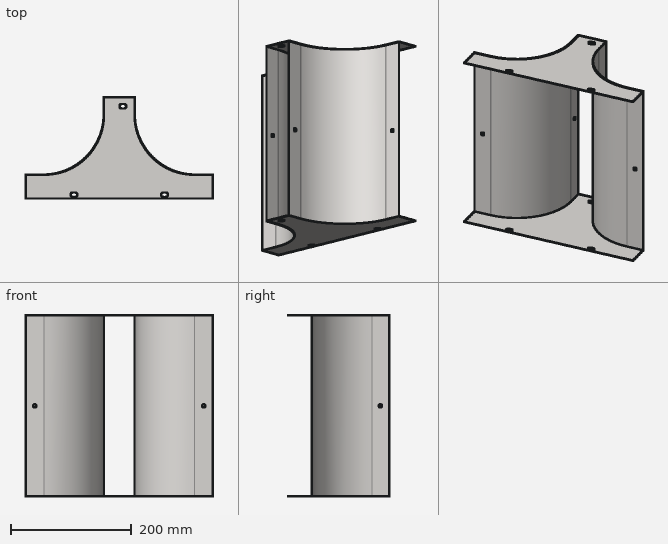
import cadquery as cq

length = 310.0
depth = 168.0
height = 301.0

sheet = 1.0
bend_radius = 99.0
neck_width = 52.0
neck_straight = 29.0

slot_length = 11.0
slot_width = 7.0
front_slot_spacing = 150.0
front_slot_inset = 6.5
neck_slot_offset = 6.0
neck_slot_inset = 15.0

wall_hole_diameter = 5.0
wall_hole_inset = 15.0

half_length = length / 2
half_neck = neck_width / 2
bend_end_x = half_neck + bend_radius
bend_start_y = depth - neck_straight
flange_y = bend_start_y - bend_radius
bottom_z = -height / 2
cut_margin = 1.0


def tee_profile(inset):
    """Tee-shaped outline with its curved sides moved inwards by inset."""
    neck_x = half_neck - inset
    back_y = flange_y - inset
    return (
        cq.Workplane("XY", origin=(0, 0, bottom_z))
        .moveTo(-half_length, 0)
        .lineTo(half_length, 0)
        .lineTo(half_length, back_y)
        .lineTo(bend_end_x, back_y)
        .radiusArc((neck_x, bend_start_y), bend_radius + inset)
        .lineTo(neck_x, depth)
        .lineTo(-neck_x, depth)
        .lineTo(-neck_x, bend_start_y)
        .radiusArc((-bend_end_x, back_y), bend_radius + inset)
        .lineTo(-half_length, back_y)
        .close()
    )


def make_shell():
    """Two end plates joined by two curved walls, open at the front, neck and ends."""
    body = tee_profile(0).extrude(height)
    cavity = tee_profile(sheet).extrude(height - 2 * sheet).translate((0, 0, sheet))
    return body.cut(cavity)


def make_plate_slots():
    """Slot cutters running through both end plates."""
    slot_places = [
        (-front_slot_spacing / 2, front_slot_inset),
        (front_slot_spacing / 2, front_slot_inset),
        (neck_slot_offset, depth - neck_slot_inset),
    ]
    return (
        cq.Workplane("XY", origin=(0, 0, bottom_z - cut_margin))
        .pushPoints(slot_places)
        .slot2D(slot_length, slot_width)
        .extrude(height + 2 * cut_margin)
    )


def make_flange_holes():
    """Hole cutters through the two flanges, at mid height near their ends."""
    hole_x = half_length - wall_hole_inset
    return (
        cq.Workplane("XZ")
        .pushPoints([(-hole_x, 0), (hole_x, 0)])
        .circle(wall_hole_diameter / 2)
        .extrude(-depth)
    )


def make_neck_hole():
    """Hole cutter through both neck walls, at mid height."""
    return (
        cq.Workplane("YZ")
        .center(depth - wall_hole_inset, 0)
        .circle(wall_hole_diameter / 2)
        .extrude(neck_width, both=True)
    )


result = make_shell().cut(make_plate_slots()).cut(make_flange_holes()).cut(make_neck_hole())